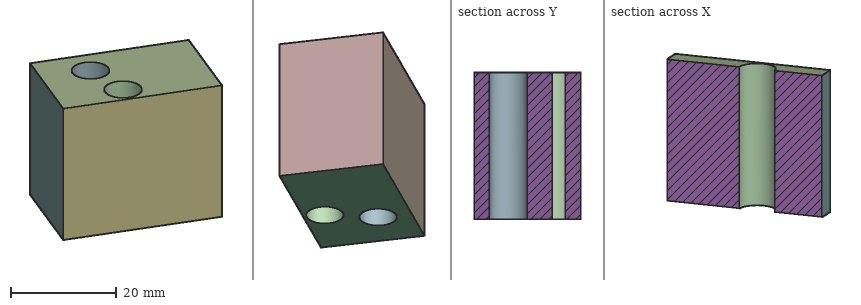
import cadquery as cq

width = 20.32
length = 31.75
height = 27.95

hole_diameter = 7.15
hole_centres = [(-3.62, -5.9), (5.97, -2.55)]

block = cq.Workplane("XY").box(width, length, height)
result = block.faces(">Z").workplane(origin=(0, 0, 0)).pushPoints(hole_centres).hole(hole_diameter)